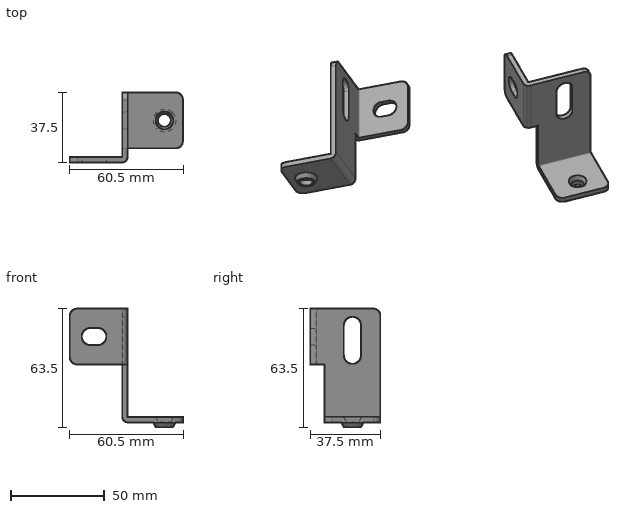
import cadquery as cq
import math

width = 60.5
depth = 37.5
height = 63.5

thickness = 3.0
inner_bend_radius = 0.1
outer_bend_radius = thickness + inner_bend_radius
corner_radius = 4.0
plate_size = 30.0

wall_left = 28.0
wall_right = wall_left + thickness
base_bottom = 2.6
flange_bottom = height - plate_size
plate_center_y = depth - plate_size / 2
arc_middle = 1 - math.sqrt(0.5)

slot_width = 9.0
flange_slot_length = 13.0
flange_slot_x = 13.0
wall_slot_length = 25.0
wall_slot_drop = 17.0

dimple_x = 50.55
dimple_root_diameter = 12.0
dimple_tip_diameter = 9.15
hole_top_diameter = 9.45
hole_diameter = 6.8
hole_cone_depth = 2.5


def bent_sheet(plane, start, bend, end, length):
    """Extrude an L section whose legs run from start to the bend and on to end.

    The outer corner is at bend. One leg is vertical in the sketch and
    the other is horizontal; each leg's outer face runs through bend.
    """
    leg_sign = math.copysign(1, end - bend[0])
    x, y = bend
    inner_x = x + leg_sign * thickness
    inner_y = y + thickness
    outer_offset = outer_bend_radius * arc_middle
    inner_offset = inner_bend_radius * arc_middle
    return (
        cq.Workplane(plane)
        .moveTo(x, start)
        .lineTo(x, y + outer_bend_radius)
        .threePointArc(
            (x + leg_sign * outer_offset, y + outer_offset),
            (x + leg_sign * outer_bend_radius, y),
        )
        .lineTo(end, y)
        .lineTo(end, inner_y)
        .lineTo(inner_x + leg_sign * inner_bend_radius, inner_y)
        .threePointArc(
            (inner_x + leg_sign * inner_offset, inner_y + inner_offset),
            (inner_x, inner_y + inner_bend_radius),
        )
        .lineTo(inner_x, start)
        .close()
        .extrude(length)
    )


def vertical_slot(center_y, center_z):
    """Slot through the wall, long in Z."""
    return (
        cq.Workplane("YZ", origin=(wall_left, center_y, center_z))
        .slot2D(wall_slot_length, slot_width, 90)
        .extrude(thickness)
    )


def horizontal_slot(center_x, center_z):
    """Slot through the side flange, long in X."""
    return (
        cq.Workplane("XZ", origin=(center_x, thickness, center_z))
        .slot2D(flange_slot_length, slot_width)
        .extrude(thickness)
    )


def cone(bottom_z, bottom_diameter, top_z, top_diameter):
    """Solid cone frustum on the dimple axis."""
    return (
        cq.Workplane("XY", origin=(dimple_x, plate_center_y, bottom_z))
        .circle(bottom_diameter / 2)
        .workplane(offset=top_z - bottom_z)
        .circle(top_diameter / 2)
        .loft(ruled=True)
    )


base_plane = cq.Plane(origin=(0, depth, 0), xDir=(1, 0, 0), normal=(0, -1, 0))
base = bent_sheet(base_plane, height, (wall_left, base_bottom), width, plate_size)
base = base.edges("|Z and >X").fillet(corner_radius)

flange_plane = cq.Plane(origin=(0, 0, flange_bottom), xDir=(1, 0, 0), normal=(0, 0, 1))
flange = bent_sheet(flange_plane, depth, (wall_right, 0), 0, plate_size)
flange = flange.edges("|Y and <X").fillet(corner_radius)

bracket = base.union(flange).clean()
bracket = bracket.edges("|X and >Y and >Z").fillet(corner_radius)

bracket = bracket.cut(horizontal_slot(flange_slot_x, height - plate_size / 2))
bracket = bracket.cut(vertical_slot(plate_center_y, height - wall_slot_drop))

base_top = base_bottom + thickness
mouth_bottom = base_top - hole_cone_depth
bracket = bracket.union(cone(0, dimple_tip_diameter, base_bottom, dimple_root_diameter))
bracket = bracket.cut(cone(mouth_bottom, hole_diameter, base_top, hole_top_diameter))
bracket = bracket.cut(cone(0, hole_diameter, mouth_bottom, hole_diameter))

result = bracket